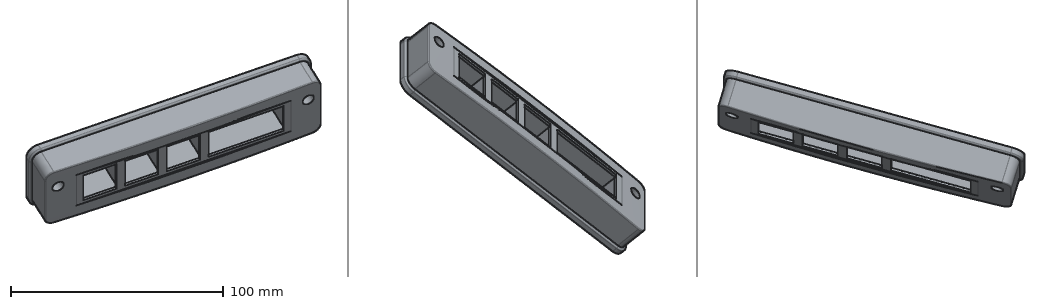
import cadquery as cq

length = 147.0
height = 39.0
flange_thickness = 3.5
flange_radius = 6.2
rim_fillet = 0.9

body_inset = 1.5
body_draft = 0.3
body_end_depth = 17.5
back_fillet = 0.5
crown_depth = 19.0
recess_floor = 18.1
recess_height = 21.5

pocket_height = 20.0
pocket_depth = 16.8
window_widths = [41.7, 20.0, 20.0, 20.0]
window_gap = 1.8
lip = 1.3

hole_diameter = 5.9
hole_offset_y = 65.1
hole_offset_z = 6.8


def rounded_block(inset, depth, draft=0):
    """Rounded block from X = 0, inset from the flange outline and narrowing by the draft angle."""
    outline = (
        cq.Sketch()
        .rect(length - 2 * inset, height - 2 * inset)
        .vertices()
        .fillet(flange_radius - inset)
    )
    return cq.Workplane("YZ").placeSketch(outline).extrude(depth, taper=draft)


def box(start, end, center_y, width, block_height):
    """Block from X = start to X = end, centred on Z = 0."""
    return (
        cq.Workplane("YZ", origin=(start, center_y, 0))
        .rect(width, block_height)
        .extrude(end - start)
    )


def crown_profile():
    """Prism along Z whose back is one shallow arc, deepest at mid-length."""
    half_length = length / 2 - body_inset
    return (
        cq.Workplane("XY", origin=(0, 0, -height / 2))
        .moveTo(0, -half_length)
        .lineTo(body_end_depth, -half_length)
        .threePointArc((crown_depth, 0), (body_end_depth, half_length))
        .lineTo(0, half_length)
        .close()
        .extrude(height)
    )


flange = rounded_block(0, flange_thickness).faces(">X").edges().fillet(rim_fillet)
body = rounded_block(body_inset, crown_depth, body_draft).intersect(crown_profile())
body = body.faces(">X").edges().fillet(back_fillet)
result = flange.union(body)

result = result.cut(box(recess_floor, crown_depth, 0, length, recess_height))

row_length = sum(window_widths) + window_gap * (len(window_widths) - 1)
top_y = row_length / 2
for width in window_widths:
    center_y = top_y - width / 2
    result = result.cut(box(0, pocket_depth, center_y, width, pocket_height))
    result = result.cut(box(0, crown_depth, center_y, width - 2 * lip, pocket_height - 2 * lip))
    top_y -= width + window_gap

holes = (
    cq.Workplane("YZ")
    .pushPoints([(-hole_offset_y, hole_offset_z), (hole_offset_y, hole_offset_z)])
    .circle(hole_diameter / 2)
    .extrude(crown_depth)
)
result = result.cut(holes)